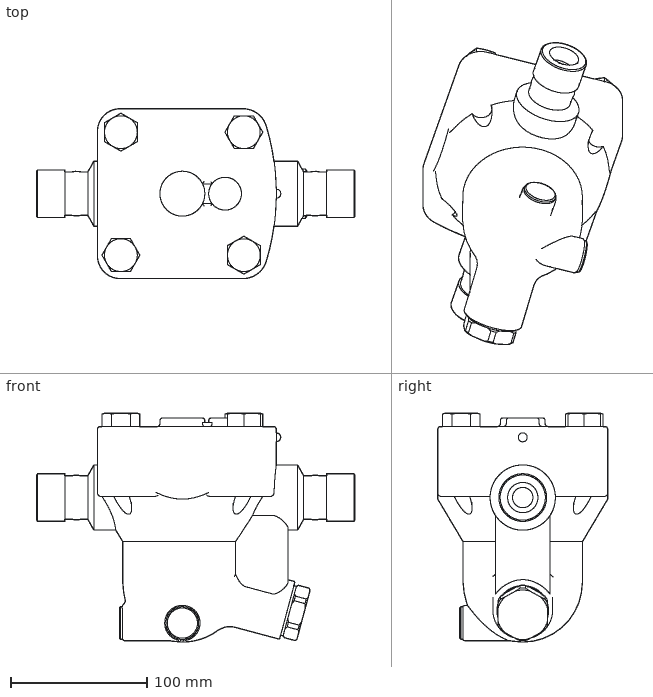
import cadquery as cq
import math


MARGIN = 0.12

pipe_left, pipe_right = -107.2, 126.8
pipe_mid = (pipe_left + pipe_right) / 2
hub_r = 48.0 / 2
collar_r = 35 / 2
neck_r = 32.0 / 2
bead_r = 33.0 / 2
collar_len = 20.8
neck_len = 5.0
bead_len = 7.0
cone_len = 4.5
collar_chamfer = 1.0
bore_r, bore_depth = 22.2 / 2, 11.7
inner_bore_r, inner_bore_depth = 15.0 / 2, 37.5

flange_left, flange_right = -62.5, 69.0
flange_half_y = 62.5
left_corner_r, right_corner_r = 16.8, 18.0
right_corner_x = 44.5
flange_bottom, joint_z, flange_top = 0.7, 29.5, 52.2
top_fillet, bottom_fillet = 2.0, 3.0

body_r = 88.0 / 2
body_top, sphere_z = -32.3, -62.2
cone_slope = 0.594
cone_top = flange_bottom + bottom_fillet

bolt_pos = 45.2
bolt_points = [(x, y) for x in (-bolt_pos, bolt_pos) for y in (-bolt_pos, bolt_pos)]
bolt_flats = 24.0
bolt_top = 62.0
bolt_hole_r = 16.0 / 2
bolt_chamfer = 0.7

pad_top = 58.5
pad_r, small_pad_r, small_pad_x = 33.0 / 2, 24.0 / 2, 31.4
bridge_width, bridge_top = 14.5, 55.2
pad_edge, pad_foot = 1.9, 2.3

pip_r, pip_x, pip_z = 3.3, 69.0, 44.2

column_half_y, column_right, column_edge_r = 20.1, 77.7, 12.2
column_bottom = -77.2

tilt = 15
outlet_r, outlet_len = 44.0 / 2, 79.8
outlet_blend = 15.2
gasket_r, gasket_len = 38.0 / 2, 1.9
outlet_edge = 1.0
plug_flats, plug_turned_r, plug_end = 36.5, 40.0 / 2, 92.2
plug_chamfer = 1.2

side_z = -92.2
side_r, side_end, side_edge = 26.0 / 2, 44.2, 1.9
side_blend = 3.5
side_plug_r, side_plug_end, side_plug_edge = 24.0 / 2, 46.3, 1.0


def cylinder_z(x, y, radius, bottom, top):
    return cq.Workplane("XY", origin=(x, y, bottom)).circle(radius).extrude(top - bottom)


def hex_corners(across_flats):
    """Diameter across the corners of a hexagon."""
    return across_flats / math.cos(math.radians(30))


def make_bolt_head(x, y):
    """Hexagonal head on the cover, with its top corners turned off by a cone."""
    corner_d = hex_corners(bolt_flats)
    blank = cylinder_z(0, 0, corner_d / 2, flange_top, bolt_top)
    blank = blank.faces(">Z").chamfer(bolt_chamfer, (corner_d - bolt_flats) / 2)
    head = cq.Workplane("XY", origin=(0, 0, flange_top)).polygon(6, corner_d)
    head = head.extrude(bolt_top - flange_top).intersect(blank)
    turn = 0 if x == y else 30
    return head.rotate((0, 0, 0), (0, 0, 1), turn).translate((x, y, 0))


def flange_outline(bottom, top):
    """Rounded plate whose +X side is one arc, tangent to the corner arcs."""
    left_y = flange_half_y - left_corner_r
    right_y = flange_half_y - right_corner_r
    left_corner_x = flange_left + left_corner_r
    reach = flange_right - right_corner_r
    cx = (reach**2 - right_corner_x**2 - right_y**2) / (2 * (reach - right_corner_x))
    angle = math.atan2(right_y, right_corner_x - cx)
    join_x = right_corner_x + right_corner_r * math.cos(angle)
    join_y = right_y + right_corner_r * math.sin(angle)
    return (
        cq.Workplane("XY", origin=(0, 0, bottom))
        .moveTo(left_corner_x, -flange_half_y)
        .lineTo(right_corner_x, -flange_half_y)
        .tangentArcPoint((join_x, -join_y), relative=False)
        .threePointArc((flange_right, 0), (join_x, join_y))
        .tangentArcPoint((right_corner_x, flange_half_y), relative=False)
        .lineTo(left_corner_x, flange_half_y)
        .tangentArcPoint((flange_left, left_y), relative=False)
        .lineTo(flange_left, -left_y)
        .tangentArcPoint((left_corner_x, -flange_half_y), relative=False)
        .close()
        .extrude(top - bottom)
    )


def make_flange():
    """Body flange and cover, meeting at the joint plane."""
    lower = flange_outline(flange_bottom, joint_z).faces("<Z").edges().fillet(bottom_fillet)
    cover = flange_outline(joint_z, flange_top).faces(">Z").edges().fillet(top_fillet)
    return lower.union(add_pads(cover))


def make_body():
    """Cone under the flange with the bolt hole mouths, and the round-bottomed bowl below it."""
    cone_top_r = body_r + cone_slope * (cone_top - body_top)
    cone = (
        cq.Workplane("XZ")
        .moveTo(0, body_top)
        .lineTo(body_r, body_top)
        .lineTo(cone_top_r, cone_top)
        .lineTo(0, cone_top)
        .close()
        .revolve(360, (0, 0), (0, 1))
    )
    cone = cone.intersect(flange_outline(body_top, cone_top))
    for x, y in bolt_points:
        cone = cone.cut(cylinder_z(x, y, bolt_hole_r, body_top, flange_bottom))
    bowl = (
        cq.Workplane("XZ")
        .moveTo(0, body_top)
        .lineTo(body_r, body_top)
        .lineTo(body_r, sphere_z)
        .radiusArc((0, sphere_z - body_r), body_r)
        .close()
        .revolve(360, (0, 0), (0, 1))
    )
    return cone, bowl


def make_pipe_stub():
    """Left pipe stub with its hub, reaching in to the middle of the pipe."""
    collar_end = pipe_left + collar_len
    bead_start = collar_end + neck_len
    bead_end = bead_start + bead_len
    cone_start = bead_end + neck_len
    stub = (
        cq.Workplane("XZ")
        .moveTo(pipe_left, 0)
        .lineTo(pipe_left, collar_r - collar_chamfer)
        .lineTo(pipe_left + collar_chamfer, collar_r)
        .lineTo(collar_end, collar_r)
        .lineTo(collar_end, neck_r)
        .lineTo(bead_start, neck_r)
        .threePointArc(((bead_start + bead_end) / 2, bead_r), (bead_end, neck_r))
        .lineTo(cone_start, neck_r)
        .lineTo(cone_start + cone_len, hub_r)
        .lineTo(pipe_mid, hub_r)
        .lineTo(pipe_mid, 0)
        .close()
        .revolve(360, (0, 0), (1, 0))
    )
    mouth = cq.Workplane("YZ", origin=(pipe_left, 0, 0))
    stub = stub.cut(mouth.circle(bore_r).extrude(bore_depth))
    return stub.cut(mouth.circle(inner_bore_r).extrude(inner_bore_depth))


def add_pads(cover):
    """Two round pads joined by a low bridge, blended into the cover at the foot."""
    pads = cylinder_z(0, 0, pad_r, flange_top, pad_top)
    pads = pads.union(cylinder_z(small_pad_x, 0, small_pad_r, flange_top, pad_top))
    pads = pads.faces(">Z").edges().fillet(pad_edge)
    bridge = (
        cq.Workplane("XY", origin=(small_pad_x / 2, 0, flange_top))
        .rect(small_pad_x, bridge_width)
        .extrude(bridge_top - flange_top)
    )
    pads = pads.union(bridge)
    foot = cq.selectors.BoxSelector(
        (-pad_r - MARGIN, -pad_r - MARGIN, flange_top - MARGIN),
        (small_pad_x + small_pad_r + MARGIN, pad_r + MARGIN, flange_top + MARGIN),
        boundingbox=True,
    )
    return cover.union(pads).edges(foot).fillet(pad_foot)


def make_column():
    """Column with rounded edges between the right pipe hub and the outlet boss."""
    return (
        cq.Workplane("XY", origin=(0, 0, column_bottom))
        .moveTo(0, -column_half_y)
        .lineTo(column_right - column_edge_r, -column_half_y)
        .radiusArc((column_right, column_edge_r - column_half_y), -column_edge_r)
        .lineTo(column_right, column_half_y - column_edge_r)
        .radiusArc((column_right - column_edge_r, column_half_y), -column_edge_r)
        .lineTo(0, column_half_y)
        .close()
        .extrude(-column_bottom)
    )


def make_outlet():
    """Outlet boss and hexagon plug, built along Z and then tilted about the sphere centre."""
    arc_r = outlet_r + outlet_blend
    arc_s = math.sqrt((body_r + outlet_blend) ** 2 - arc_r**2)
    touch = body_r / (body_r + outlet_blend)
    boss = (
        cq.Workplane("XZ")
        .lineTo(touch * arc_r, touch * arc_s)
        .radiusArc((outlet_r, arc_s), outlet_blend)
        .lineTo(outlet_r, outlet_len)
        .lineTo(0, outlet_len)
        .close()
        .revolve(360, (0, 0), (0, 1))
    )
    gasket = cylinder_z(0, 0, gasket_r, outlet_len, outlet_len + gasket_len)
    plug_start = outlet_len + gasket_len
    blank = cylinder_z(0, 0, plug_turned_r, plug_start, plug_end).edges().chamfer(plug_chamfer)
    plug = cq.Workplane("XY", origin=(0, 0, plug_start)).polygon(6, hex_corners(plug_flats))
    plug = plug.extrude(plug_end - plug_start).intersect(blank)
    outlet = boss.faces(">Z").edges().fillet(outlet_edge).union(gasket).union(plug)
    return outlet.rotate((0, 0, 0), (0, 1, 0), 90 + tilt).translate((0, 0, sphere_z))


def side_rod(radius, end):
    """Round rod from the body axis towards -X."""
    return cq.Workplane("YZ", origin=(0, 0, side_z)).circle(radius).extrude(-end)


def add_side_bosses(bowl):
    """Blended boss towards -X and plain boss towards -Y, each closed by a plug."""
    blended = bowl.union(side_rod(side_r, 2 * side_end))
    junction = cq.selectors.BoxSelector(
        (-body_r, -side_r - MARGIN, side_z - side_r - MARGIN),
        (-MARGIN, side_r + MARGIN, side_z + side_r + MARGIN),
        boundingbox=True,
    )
    blended = blended.edges(junction).fillet(side_blend)
    beyond_end = cq.Workplane("YZ", origin=(-side_end, 0, side_z)).circle(2 * side_r).extrude(-2 * side_end)
    blended = blended.cut(beyond_end)
    end_centre = cq.selectors.NearestToPointSelector((-side_end, 0, side_z))
    blended = blended.faces(end_centre).edges().fillet(side_edge)
    plug = side_rod(side_plug_r, side_plug_end).faces("<X").edges().chamfer(side_plug_edge)
    plain = side_rod(side_r, side_end).faces("<X").edges().fillet(side_edge).union(plug)
    return blended.union(plug).union(plain.rotate((0, 0, 0), (0, 0, 1), 90))


cone, bowl = make_body()
bowl = add_side_bosses(bowl)

stub = make_pipe_stub()
mirror_stub = stub.mirror("YZ", (pipe_mid, 0, 0))

result = make_flange().union(cone).union(bowl)
result = result.union(make_column()).union(make_outlet())
result = result.union(stub).union(mirror_stub)
for x, y in bolt_points:
    result = result.union(make_bolt_head(x, y))
result = result.union(cq.Workplane("XY", origin=(pip_x, 0, pip_z)).sphere(pip_r))